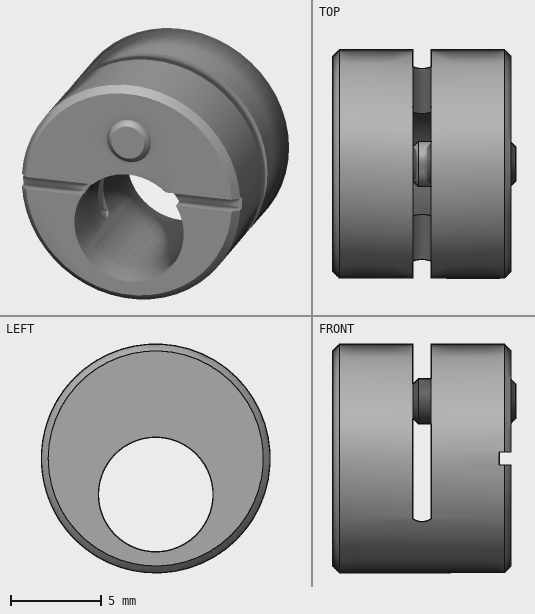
import cadquery as cq

HOUSING_DIAMETER = 12.7
HOUSING_LENGTH = 9.906
HOUSING_CHAMFER = 0.381

BORE_DIAMETER = 6.35
BORE_Z = -2.0

SLIT_START_X = 4.445
SLIT_WIDTH = 1.016
SLIT_FLOOR_Z = -3.5
SLIT_FLOOR_RISE = 0.16

GROOVE_WIDTH = 0.7112
GROOVE_DEPTH = 0.66

PIN_DIAMETER = 2.52
PIN_Z = HOUSING_DIAMETER / 4
PIN_PROTRUSION = 0.254
PIN_CHAMFER = 0.31

HOUSING_RADIUS = HOUSING_DIAMETER / 2
PIN_LENGTH = HOUSING_LENGTH + PIN_PROTRUSION - SLIT_START_X


def x_cylinder(diameter, start_x, length, center_z):
    """Cylinder along +X."""
    section = cq.Workplane("YZ", origin=(start_x, 0, center_z)).circle(diameter / 2)
    return section.extrude(length)


def slit_cutter():
    """Slit across Y: straight sides and an arc floor, lowest in the middle."""
    end_x = SLIT_START_X + SLIT_WIDTH
    middle_x = SLIT_START_X + SLIT_WIDTH / 2
    side_foot_z = SLIT_FLOOR_Z + SLIT_FLOOR_RISE
    profile = (
        cq.Workplane("XZ")
        .moveTo(SLIT_START_X, HOUSING_RADIUS)
        .lineTo(SLIT_START_X, side_foot_z)
        .threePointArc((middle_x, SLIT_FLOOR_Z), (end_x, side_foot_z))
        .lineTo(end_x, HOUSING_RADIUS)
        .close()
    )
    return profile.extrude(HOUSING_RADIUS, both=True)


def groove_cutter():
    """Rectangular groove along Y, sunk into the +X face at mid-height."""
    groove = cq.Workplane("XY").box(GROOVE_DEPTH, HOUSING_DIAMETER, GROOVE_WIDTH)
    return groove.translate((HOUSING_LENGTH - GROOVE_DEPTH / 2, 0, 0))


def make_housing():
    block = x_cylinder(HOUSING_DIAMETER, 0, HOUSING_LENGTH, 0)
    block = block.faces("<X or >X").chamfer(HOUSING_CHAMFER)
    bore = x_cylinder(BORE_DIAMETER, 0, HOUSING_LENGTH, BORE_Z)
    pin_hole = x_cylinder(PIN_DIAMETER, SLIT_START_X, HOUSING_LENGTH - SLIT_START_X, PIN_Z)
    return block.cut(bore).cut(slit_cutter()).cut(pin_hole).cut(groove_cutter())


def make_pin():
    """Round pin, chamfered at both ends, resting on the far wall of the slit."""
    rod = x_cylinder(PIN_DIAMETER, SLIT_START_X, PIN_LENGTH, PIN_Z)
    return rod.faces("<X or >X").chamfer(PIN_CHAMFER)


housing = make_housing()
pin = make_pin()
result = cq.Compound.makeCompound([housing.solids().val(), pin.solids().val()])